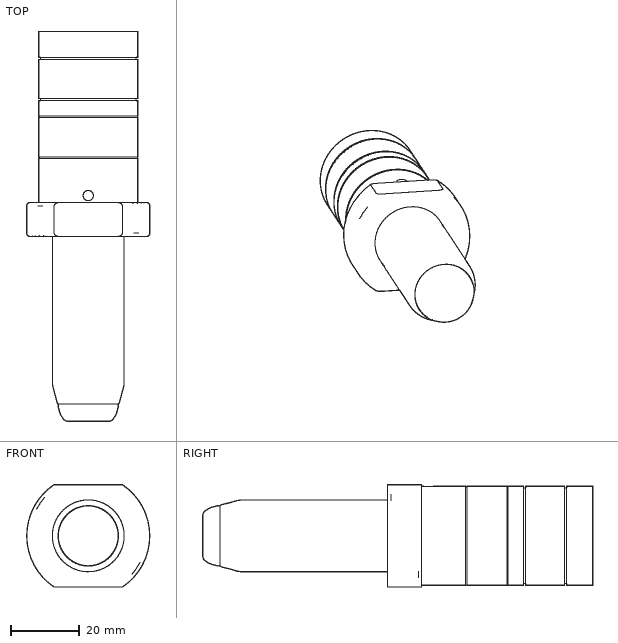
import cadquery as cq
import math


body_diameter = 29.0
body_length = 50.0

flange_diameter = 36.0
flange_length = 10.0
flange_across_flats = 30.0
flange_edge_fillet = 1.0

pin_diameter = 21.0
pin_length = 54.0

taper_length = 10.6
taper_angle = math.radians(15)
bevel_length = 2.0
bevel_angle = math.radians(35)
taper_blend_radius = 4.0
bevel_blend_radius = 3.0
tip_end_fillet = 1.8
tip_groove_distance = 4.95
tip_groove_width = 1.4
tip_groove_flank_radius = 1.0

edge_search_margin = 0.1

wide_groove_width = 0.6
wide_groove_depth = 0.5
wide_groove_distances = (7.95, 19.95)
fine_groove_width = 0.4
fine_groove_depth = 0.1
fine_groove_distances = (24.95, 36.95)

top_hole_diameter = 3.0
top_hole_distance = 48.0
top_hole_depth = 3.0

body_end = flange_length + body_length
pin_radius = pin_diameter / 2


def taper_radius(distance):
    """Radius of the tapered tip at the given distance from the tip end."""
    return pin_radius - (taper_length - distance) * math.tan(taper_angle)


def cylinder(diameter, start, length):
    """Solid cylinder about Y, from Y = start to Y = start + length."""
    profile = cq.Workplane("XZ", origin=(0, start, 0)).circle(diameter / 2)
    return profile.extrude(-length)


def ring_groove(distance, width, depth):
    """Ring that cuts a square groove into the body."""
    start = body_end - distance - width / 2
    outer = cylinder(flange_diameter, start, width)
    return outer.cut(cylinder(body_diameter - 2 * depth, start, width))


def make_body():
    body = cylinder(body_diameter, flange_length, body_length)
    for distance in wide_groove_distances:
        body = body.cut(ring_groove(distance, wide_groove_width, wide_groove_depth))
    for distance in fine_groove_distances:
        body = body.cut(ring_groove(distance, fine_groove_width, fine_groove_depth))
    hole_centre = body_end - top_hole_distance
    hole = (
        cq.Workplane("XY", origin=(0, hole_centre, body_diameter / 2 - top_hole_depth))
        .circle(top_hole_diameter / 2)
        .extrude(2 * top_hole_depth)
    )
    return body.cut(hole)


def make_flange():
    disc = cylinder(flange_diameter, 0, flange_length).edges("%CIRCLE").fillet(flange_edge_fillet)
    flats = cq.Workplane("XY").box(
        flange_diameter, flange_length, flange_across_flats, centered=(True, False, True)
    )
    return disc.intersect(flats)


def tip_groove_corners():
    """Start, floor and end of the V groove with rounded flanks around the taper, as (X, Y) points."""
    half_width = tip_groove_width / 2 / math.cos(taper_angle)
    depth = tip_groove_flank_radius - math.sqrt(tip_groove_flank_radius**2 - half_width**2)
    start_distance = tip_groove_distance + tip_groove_width / 2
    end_distance = tip_groove_distance - tip_groove_width / 2
    start = (taper_radius(start_distance), start_distance - pin_length)
    end = (taper_radius(end_distance), end_distance - pin_length)
    floor = (
        taper_radius(tip_groove_distance) - depth * math.cos(taper_angle),
        tip_groove_distance - pin_length + depth * math.sin(taper_angle),
    )
    return start, floor, end


def round_pin_edge(pin, distance, radius):
    """Fillet the circular edge at the given distance from the pin tip."""
    level = distance - pin_length
    edge_box = cq.selectors.BoxSelector(
        (-pin_diameter, level - edge_search_margin, -pin_diameter),
        (pin_diameter, level + edge_search_margin, pin_diameter),
    )
    return pin.edges("%CIRCLE").edges(edge_box).fillet(radius)


def make_pin():
    groove_start, groove_floor, groove_end = tip_groove_corners()
    bevel_radius = taper_radius(bevel_length)
    end_radius = bevel_radius - bevel_length * math.tan(bevel_angle)
    pin = (
        cq.Workplane("XY")
        .moveTo(0, 0)
        .lineTo(pin_radius, 0)
        .lineTo(pin_radius, taper_length - pin_length)
        .lineTo(*groove_start)
        .radiusArc(groove_floor, tip_groove_flank_radius)
        .radiusArc(groove_end, tip_groove_flank_radius)
        .lineTo(bevel_radius, bevel_length - pin_length)
        .lineTo(end_radius, -pin_length)
        .lineTo(0, -pin_length)
        .close()
        .revolve(360, (0, 0, 0), (0, 1, 0))
    )
    pin = round_pin_edge(pin, taper_length, taper_blend_radius)
    pin = round_pin_edge(pin, bevel_length, bevel_blend_radius)
    return round_pin_edge(pin, 0, tip_end_fillet)


result = make_body().union(make_flange()).union(make_pin())